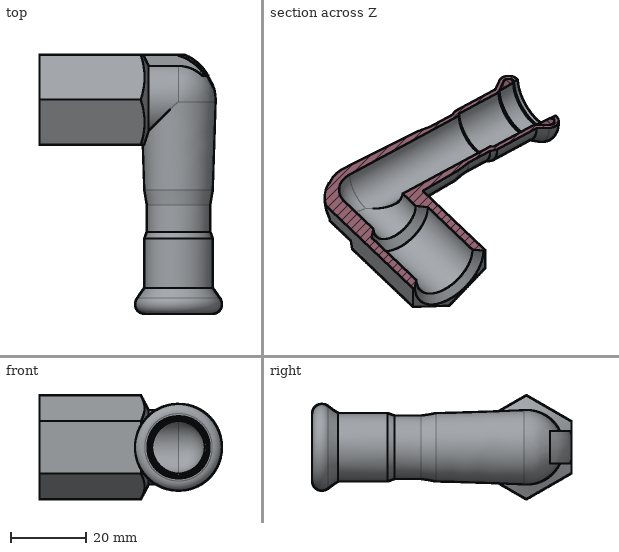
import cadquery as cq
import math


HEX_FLATS = 24.0
HEX_CORNERS = HEX_FLATS / math.cos(math.radians(30))
HEX_FACE_X = -37.0
HEX_END_X = -10.0
HEX_BORE_R = 18.6 / 2
HEX_MOUTH_R = 11.4
HEX_MOUTH_DEPTH = HEX_MOUTH_R - HEX_BORE_R
HEX_BORE_END_X = -15.2

BEND_R = 9.95
NECK_X = -7.95
BORE_R = 14.0 / 2
BORE_CONE_LENGTH = HEX_BORE_R - BORE_R

PAD_WIDTH = 8.55
PAD_TOP_Y = HEX_FLATS / 2
PAD_AXIS_X = -3.05
PAD_FLAT_X = 1.5
PAD_MID_X = 5.85
PAD_MID_Y = 9.1
PAD_END_X = 8.0
PAD_END_Y = 6.3

TAPER_END_Y = -24.0
TAPER_END_R = 18.3 / 2
TUBE_START_Y = -27.95
TUBE_R = 17.0 / 2
SLEEVE_STEP_Y = -35.1
SLEEVE_Y = -36.9
SLEEVE_R = 18.3 / 2
SLEEVE_END_Y = -50.0
SOCKET_R = 15.2 / 2
SOCKET_TAPER = SOCKET_R - BORE_R

TOTAL_LENGTH = 69.0
END_Y = PAD_TOP_Y - TOTAL_LENGTH
BEAD_R = 11.6
BEAD_SECTION_R = 2.6
BEAD_CENTRE_R = BEAD_R - BEAD_SECTION_R
BEAD_CENTRE_Y = END_Y + BEAD_SECTION_R
BEAD_START_Y = -52.8
BEAD_START_R = BEAD_CENTRE_R + math.sqrt(BEAD_SECTION_R**2 - (BEAD_START_Y - BEAD_CENTRE_Y) ** 2)
LIP_R = 8.3

CAVITY_BACK_Y = -50.6
CAVITY_BACK_R = 15.8 / 2
SOCKET_EDGE_Y = -49.95
CAVITY_SECTION_R = 1.3
CAVITY_FRONT_Y = BEAD_CENTRE_Y - CAVITY_SECTION_R
CAVITY_SHOULDER_R = BEAD_CENTRE_R + CAVITY_SECTION_R * math.cos(math.radians(45))
CAVITY_SHOULDER_Y = BEAD_CENTRE_Y + CAVITY_SECTION_R * math.sin(math.radians(45))
SEAL_FRONT_R = 8.15
SEAL_FRONT_Y = -55.35


def revolve_about_x(profile):
    return profile.close().revolve(360, (0, 0, 0), (1, 0, 0))


def revolve_about_y(profile):
    return profile.close().revolve(360, (0, 0, 0), (0, 1, 0))


def make_hexagon():
    """Hexagonal prism with two corners on Z, its inner end trimmed by the neck cone."""
    prism = (
        cq.Workplane("YZ", origin=(HEX_FACE_X, 0, 0))
        .transformed(rotate=(0, 0, 90))
        .polygon(6, HEX_CORNERS)
        .extrude(NECK_X - HEX_FACE_X)
    )
    envelope = revolve_about_x(
        cq.Workplane("XY")
        .moveTo(HEX_FACE_X, 0)
        .lineTo(HEX_FACE_X, HEX_CORNERS / 2)
        .lineTo(HEX_END_X, HEX_CORNERS / 2)
        .lineTo(NECK_X, BEND_R)
        .lineTo(NECK_X, 0)
    )
    return prism.intersect(envelope)


def make_bend():
    """Ball at the corner with the short cylinder that leads to the hexagon."""
    ball = cq.Workplane("XY").sphere(BEND_R)
    neck = cq.Workplane("YZ", origin=(NECK_X, 0, 0)).circle(BEND_R).extrude(-NECK_X)
    return ball.union(neck)


def make_pad():
    """Flat-sided pad level with the back of the hexagon and rounded off over the bend."""
    straight = cq.Workplane("XY", origin=(HEX_END_X, 0, 0)).box(
        -HEX_END_X, PAD_TOP_Y, PAD_WIDTH, centered=(False, False, True)
    )
    rounded = (
        cq.Workplane("XY")
        .moveTo(PAD_AXIS_X, PAD_END_Y)
        .lineTo(PAD_END_X, PAD_END_Y)
        .threePointArc((PAD_MID_X, PAD_MID_Y), (PAD_FLAT_X, PAD_TOP_Y))
        .lineTo(PAD_AXIS_X, PAD_TOP_Y)
        .close()
        .revolve(360, (PAD_AXIS_X, 0, 0), (PAD_AXIS_X, 1, 0))
    )
    slab = cq.Workplane("XY").box(HEX_FLATS, PAD_TOP_Y, PAD_WIDTH, centered=(False, False, True))
    return straight.union(rounded.intersect(slab))


def make_press_arm():
    """Tapered arm, plain tube, wider sleeve and rolled bead, turned about Y."""
    return revolve_about_y(
        cq.Workplane("XY")
        .moveTo(0, 0)
        .lineTo(BEND_R, 0)
        .lineTo(TAPER_END_R, TAPER_END_Y)
        .lineTo(TUBE_R, TUBE_START_Y)
        .lineTo(TUBE_R, SLEEVE_STEP_Y)
        .lineTo(SLEEVE_R, SLEEVE_Y)
        .lineTo(SLEEVE_R, SLEEVE_END_Y)
        .lineTo(BEAD_START_R, BEAD_START_Y)
        .threePointArc((BEAD_R, BEAD_CENTRE_Y), (BEAD_CENTRE_R, END_Y))
        .lineTo(0, END_Y)
    )


def make_hexagon_bore():
    return revolve_about_x(
        cq.Workplane("XY")
        .moveTo(HEX_FACE_X, 0)
        .lineTo(HEX_FACE_X, HEX_MOUTH_R)
        .lineTo(HEX_FACE_X + HEX_MOUTH_DEPTH, HEX_BORE_R)
        .lineTo(HEX_BORE_END_X, HEX_BORE_R)
        .lineTo(HEX_BORE_END_X + BORE_CONE_LENGTH, BORE_R)
        .lineTo(0, BORE_R)
        .lineTo(0, 0)
    )


def add_cavity_wall(profile):
    """Continue a profile from the back edge of the seal cavity round to its front wall."""
    return (
        profile.lineTo(CAVITY_SHOULDER_R, CAVITY_SHOULDER_Y)
        .threePointArc((BEAD_CENTRE_R + CAVITY_SECTION_R, BEAD_CENTRE_Y), (BEAD_CENTRE_R, CAVITY_FRONT_Y))
    )


def make_press_bore():
    """Arm bore, tube socket, seal cavity and lip."""
    to_cavity = (
        cq.Workplane("XY")
        .moveTo(0, 0)
        .lineTo(BORE_R, 0)
        .lineTo(BORE_R, SLEEVE_Y + SOCKET_TAPER)
        .lineTo(SOCKET_R, SLEEVE_Y)
        .lineTo(SOCKET_R, SOCKET_EDGE_Y)
        .lineTo(CAVITY_BACK_R, CAVITY_BACK_Y)
    )
    return revolve_about_y(
        add_cavity_wall(to_cavity)
        .lineTo(LIP_R, CAVITY_FRONT_Y)
        .lineTo(LIP_R, END_Y)
        .lineTo(0, END_Y)
    )


def make_fitting():
    outside = make_press_arm().union(make_bend()).union(make_hexagon()).union(make_pad())
    bore_ball = cq.Workplane("XY").sphere(BORE_R)
    return outside.cut(make_hexagon_bore()).cut(make_press_bore()).cut(bore_ball)


def make_seal_ring():
    """Ring that fills the cavity, with a flared bore and a bevelled front."""
    back_edge = cq.Workplane("XY").moveTo(CAVITY_BACK_R, CAVITY_BACK_Y)
    return revolve_about_y(add_cavity_wall(back_edge).lineTo(SEAL_FRONT_R, SEAL_FRONT_Y))


fitting = make_fitting()
seal_ring = make_seal_ring()

result = cq.Compound.makeCompound([fitting.val(), seal_ring.val()])